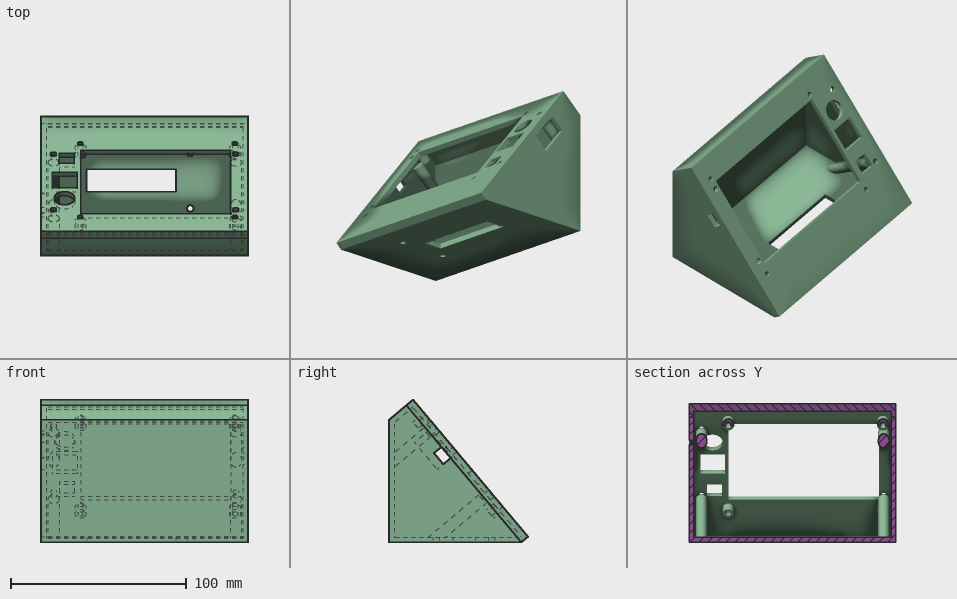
import cadquery as cq
import math

WIDTH = 118.0
DEPTH = 79.2
HEIGHT = 81.2
SLOPE = math.radians(50)
SIN = math.sin(SLOPE)
COS = math.cos(SLOPE)
HALF_WIDTH = WIDTH / 2

WALL = 3.0
INNER_HALF_WIDTH = HALF_WIDTH - WALL

PANEL_THICKNESS = 5.0
PLATE_THICKNESS = 3.0
PANEL_LENGTH = (HEIGHT - PANEL_THICKNESS * COS) / SIN
RIDGE_Y = DEPTH - PANEL_LENGTH * COS

BEYOND_HOUSING = DEPTH + HEIGHT

DISPLAY_WINDOW = ((-36.3, 49.1), (15.6, 71.9))
SWITCH_WINDOW = ((-52.4, -38.4), (38.5, 52.3))
SOCKET_WINDOW = ((-48.6, -40.0), (60.5, 69.3))
KNOB_CENTER = (-45.5, 29.4)
KNOB_DIAMETER = 11.7

BOSS_XS = (-36.6, 51.5)
BOSS_VS = (12.7, 77.8)
BOSS_POINTS = [(x, v) for x in BOSS_XS for v in BOSS_VS]
BOSS_DIAMETER = 6.4
BOSS_HOLE_DIAMETER = 3.1
BOSS_END_DEPTH = 8.3

POST_XS = (-51.8, 51.9)
POST_VS = (19.2, 68.5)
POST_POINTS = [(x, v) for x in POST_XS for v in POST_VS]
POST_DIAMETER = 6.4
POST_GAP = 1.3
SCREW_HOLE_DIAMETER = 3.4

SLOT_END_V = 39.2
CABLE_SLOT_V = (19.0, SLOT_END_V)
CABLE_SLOT_HEIGHT = 10.0
NOTCH_V = (22.0, SLOT_END_V)
NOTCH_HEIGHT = 0.8
SMALL_SLOT_V = (31.0, SLOT_END_V)
SMALL_SLOT_HEIGHT = 5.4

FLOOR_WINDOW_CENTER = (-7.5, 42.7)
FLOOR_WINDOW_LENGTH = 50.9
FLOOR_WINDOW_WIDTH = 12.6
FLOOR_HOLE_POINTS = [(26.1, 26.8), (26.1, 58.4)]
FLOOR_HOLE_DIAMETER = 3.7


def slope_plane(depth):
    """Plane parallel to the panel at the given depth; local y is v."""
    origin = (0, RIDGE_Y - depth * SIN, HEIGHT - depth * COS)
    return cq.Plane(origin=origin, xDir=(1, 0, 0), normal=(0, SIN, COS))


def slope_block(x_range, v_range, top, bottom):
    """Block square to the panel, between two depths."""
    x_start, x_end = x_range
    v_start, v_end = v_range
    return (
        cq.Workplane(slope_plane(bottom))
        .center((x_start + x_end) / 2, (v_start + v_end) / 2)
        .rect(x_end - x_start, v_end - v_start)
        .extrude(bottom - top)
    )


def slope_rods(points, diameter, top, bottom):
    """Round rods square to the panel, between two depths."""
    return (
        cq.Workplane(slope_plane(bottom))
        .pushPoints(points)
        .circle(diameter / 2)
        .extrude(bottom - top)
    )


def make_panel():
    panel = slope_block((-HALF_WIDTH, HALF_WIDTH), (0, PANEL_LENGTH), 0, PANEL_THICKNESS)

    recess_x = (-INNER_HALF_WIDTH, INNER_HALF_WIDTH)
    recess_v = (WALL, PANEL_LENGTH - WALL)
    panel = panel.cut(slope_block(recess_x, recess_v, PLATE_THICKNESS, PANEL_THICKNESS))
    panel = panel.union(slope_rods(BOSS_POINTS, BOSS_DIAMETER, PLATE_THICKNESS, BOSS_END_DEPTH))

    for x_range, v_range in (DISPLAY_WINDOW, SWITCH_WINDOW, SOCKET_WINDOW):
        panel = panel.cut(slope_block(x_range, v_range, 0, PLATE_THICKNESS))
    panel = panel.cut(slope_rods([KNOB_CENTER], KNOB_DIAMETER, 0, PLATE_THICKNESS))
    panel = panel.cut(slope_rods(BOSS_POINTS, BOSS_HOLE_DIAMETER, 0, BOSS_END_DEPTH))
    panel = panel.cut(slope_rods(POST_POINTS, SCREW_HOLE_DIAMETER, 0, PLATE_THICKNESS))

    notch_x = (-HALF_WIDTH, -INNER_HALF_WIDTH)
    notch_top = PANEL_THICKNESS - NOTCH_HEIGHT
    return panel.cut(slope_block(notch_x, NOTCH_V, notch_top, PANEL_THICKNESS))


def housing_envelope():
    """Solid wedge under the panel, with its top edge cut square to the slope."""
    toe_y = DEPTH - PANEL_THICKNESS * SIN
    ridge_y = RIDGE_Y - PANEL_THICKNESS * SIN
    ridge_z = HEIGHT - PANEL_THICKNESS * COS
    back_z = ridge_z - ridge_y * COS / SIN
    outline = [(0, 0), (toe_y, 0), (ridge_y, ridge_z), (0, back_z)]
    return cq.Workplane("YZ").polyline(outline).close().extrude(HALF_WIDTH, both=True)


def housing_cavity():
    """Space inside the floor, back wall, side walls and top edge, open to the slope."""
    inner_x = (-INNER_HALF_WIDTH, INNER_HALF_WIDTH)
    below_top_edge = slope_block(inner_x, (WALL, PANEL_LENGTH), 0, BEYOND_HOUSING)
    above_floor = (
        cq.Workplane("XY")
        .box(WIDTH, DEPTH, HEIGHT, centered=(True, False, False))
        .translate((0, WALL, WALL))
    )
    return below_top_edge.intersect(above_floor)


def make_housing():
    envelope = housing_envelope()
    post_top = PANEL_THICKNESS + POST_GAP
    posts = slope_rods(POST_POINTS, POST_DIAMETER, post_top, BEYOND_HOUSING).intersect(envelope)
    housing = envelope.cut(housing_cavity()).union(posts)

    cable_wall = (-HALF_WIDTH, -INNER_HALF_WIDTH)
    cable_bottom = PANEL_THICKNESS + CABLE_SLOT_HEIGHT
    housing = housing.cut(slope_block(cable_wall, CABLE_SLOT_V, PANEL_THICKNESS, cable_bottom))
    small_wall = (INNER_HALF_WIDTH, HALF_WIDTH)
    small_bottom = PANEL_THICKNESS + SMALL_SLOT_HEIGHT
    housing = housing.cut(slope_block(small_wall, SMALL_SLOT_V, PANEL_THICKNESS, small_bottom))

    floor_window = (
        cq.Workplane("XY")
        .center(*FLOOR_WINDOW_CENTER)
        .rect(FLOOR_WINDOW_LENGTH, FLOOR_WINDOW_WIDTH)
        .extrude(WALL)
    )
    floor_holes = (
        cq.Workplane("XY")
        .pushPoints(FLOOR_HOLE_POINTS)
        .circle(FLOOR_HOLE_DIAMETER / 2)
        .extrude(WALL)
    )
    return housing.cut(floor_window).cut(floor_holes)


housing = make_housing()
panel = make_panel()
result = cq.Compound.makeCompound([housing.solids().val(), panel.solids().val()])